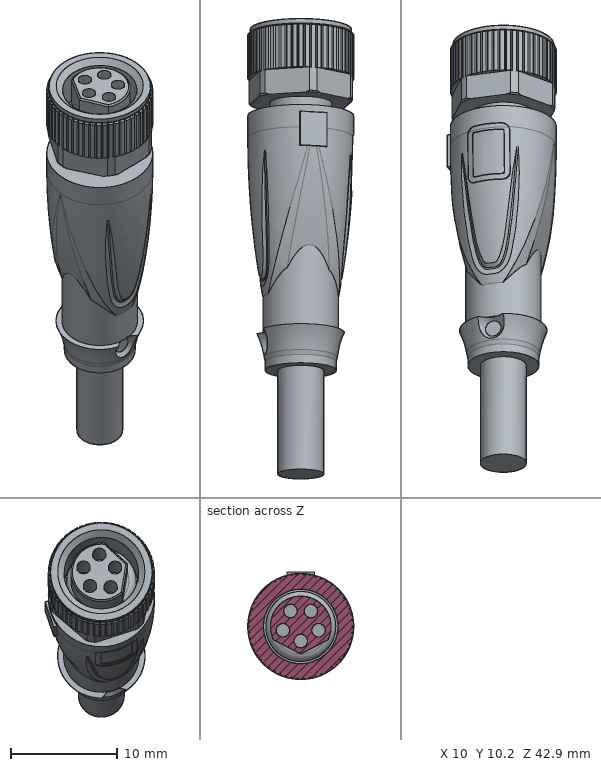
import math

import cadquery as cq

TOTAL_HEIGHT = 42.9
CABLE_END = 10.0
STRAIN_RING_TOP = 10.8
STRAIN_CONE_BASE = 11.25
COLLAR_TOP = 13.6
GRIP_BASE = 17.0
TUBE_TOP = 22.4
GRIP_TOP = 32.4
HEAD_TOP = 34.55
NUT_BASE = 35.8
KNURL_BASE = 38.2
KNURL_TOP = 42.45

CABLE_RADIUS = 2.17
STRAIN_RING_RADIUS = 3.35
STRAIN_CONE_RADIUS = 3.45
COLLAR_MIDDLE_RADIUS = 3.7
COLLAR_TOP_RADIUS = 4.13
TUBE_RADIUS = 3.56
HEAD_RADIUS = 5.0
NECK_RADIUS = 2.93
NUT_RIM_RADIUS = 4.78

SIDE_ARC_RADIUS = 83.0
PANEL_ARC_RADIUS = 43.0

BEVEL_INNER_SHARE = 0.77
BEVEL_OUTER_SHARE = 1.2
BEVEL_TIP_DROP = 0.4
BEVEL_SECTIONS = 6
BEVEL_OVERHANG = 0.5
BEVEL_THICKNESS = 1.0

HEX_ACROSS_FLATS = 9.0
NUT_CHAMFER = 0.15
KNURL_COUNT = 54
KNURL_DEPTH = 0.15
KNURL_HALF_WIDTH = 0.1

SOCKET_MOUTH_RADIUS = 4.1
SOCKET_RADIUS = 3.5
SOCKET_CHAMFER_DEPTH = 0.5
SOCKET_DEPTH = 5.0
SHOULDER_RADIUS = 3.3
SHOULDER_DEPTH = 3.0
SHOULDER_ROUNDING = 0.7
INSERT_RADIUS = 2.87
INSERT_RECESS = 0.1
INSERT_CHAMFER = 0.15
KEY_POINT_Y = -2.6
KEY_CORNER = (2.77, -1.16)
CONTACT_DIAMETER = 1.25
CONTACT_DEPTH = 4.0
CONTACT_CENTRES = [(-0.96, 1.45), (0.96, 1.45), (-1.68, -0.36), (1.68, -0.36), (0, -1.37)]

GROOVE_LOW_POINT = 18.5
GROOVE_TIP_HEIGHT = 30.4
GROOVE_HALF_SPAN = 2.75
GROOVE_EXPONENT = 3.3
GROOVE_DEPTH = 0.2
GROOVE_INNER_WIDTH = 0.45
GROOVE_OUTER_WIDTH = 0.6
GROOVE_FLOOR_WIDTH = 0.16
GROOVE_FADE_EXPONENT = 12
GROOVE_OVERHANG = 1.3
GROOVE_STEPS = 8
GROOVE_SMALL_STEP = 0.001

LABEL_CENTRE_Z = 29.95
LABEL_WIDTH = 3.1
LABEL_HEIGHT = 4.5
LABEL_CORNER_RADIUS = 0.2
LABEL_DEPTH = 0.2
FRAME_WIDTH = 4.15
FRAME_HEIGHT = 5.7
FRAME_CORNER_RADIUS = 0.75
FRAME_DEPTH = 0.1

PAD_WIDTH = 2.6
PAD_BASE = 30.6
PAD_TOP = 33.85
PAD_Y = 5.15

DIMPLE_FLOOR_X = 3.1
DIMPLE_FLOOR_RADIUS = 0.77
DIMPLE_CENTRE_Z = 12.55
DIMPLE_LENGTH = 1.5


def cylinder(radius, bottom, top):
    return cq.Workplane("XY").workplane(offset=bottom).circle(radius).extrude(top - bottom)


def arc_reach(arc_radius, z):
    """Distance from the axis, at height z, to a grip arc that leaves the head vertically."""
    drop = GRIP_TOP - z
    return HEAD_RADIUS - arc_radius + math.sqrt(arc_radius**2 - drop**2)


def grip_outline(plane, arc_radius, inset=0.0):
    """Half outline of the grip: vertical at the head, then one arc down to the base."""
    middle = (GRIP_BASE + GRIP_TOP) / 2
    return (
        cq.Workplane(plane)
        .moveTo(0, GRIP_BASE)
        .lineTo(arc_reach(arc_radius, GRIP_BASE) - inset, GRIP_BASE)
        .threePointArc(
            (arc_reach(arc_radius, middle) - inset, middle),
            (HEAD_RADIUS - inset, GRIP_TOP),
        )
        .lineTo(HEAD_RADIUS - inset, HEAD_TOP)
        .lineTo(0, HEAD_TOP)
        .close()
    )


def round_grip(inset=0.0):
    return grip_outline("XZ", SIDE_ARC_RADIUS, inset).revolve(360, (0, 0, 0), (0, 1, 0))


def panel_limit():
    """Solid bounded on the +Y and -Y sides by a curved panel that runs straight along X."""
    half = grip_outline("YZ", PANEL_ARC_RADIUS).extrude(2 * HEAD_RADIUS, both=True)
    return half.union(half.mirror("XZ"))


def bevel_section(z):
    """Triangle at height z whose base is the chord from the panel to the round side."""
    side = arc_reach(SIDE_ARC_RADIUS, z)
    panel = arc_reach(PANEL_ARC_RADIUS, z)
    half_width = math.sqrt(side**2 - panel**2)
    inner = cq.Vector(BEVEL_INNER_SHARE * half_width, panel, z)
    outer_x = BEVEL_OUTER_SHARE * half_width
    outer = cq.Vector(outer_x, math.sqrt(side**2 - outer_x**2), z)
    along = (outer - inner).normalized() * BEVEL_OVERHANG
    away = cq.Vector(-along.y, along.x, 0).normalized() * BEVEL_THICKNESS
    return cq.Wire.makePolygon(
        [inner - along, outer + along, (inner + outer) * 0.5 + away], close=True
    )


def make_bevels():
    top = GRIP_TOP - BEVEL_TIP_DROP
    step = (top - GRIP_BASE) / (BEVEL_SECTIONS - 1)
    sections = [bevel_section(top - i * step) for i in range(BEVEL_SECTIONS)]
    bevel = both_sides(cq.Workplane(cq.Solid.makeLoft(sections)))
    return bevel.union(bevel.mirror("XZ"))


def both_sides(shape):
    return shape.union(shape.mirror("YZ"))


def groove_point(share):
    """Point of the groove centre line on the round side; share runs from -1 to 1."""
    y = GROOVE_HALF_SPAN * share
    z = GROOVE_LOW_POINT + (GROOVE_TIP_HEIGHT - GROOVE_LOW_POINT) * abs(share) ** GROOVE_EXPONENT
    return cq.Vector(math.sqrt(arc_reach(SIDE_ARC_RADIUS, z) ** 2 - y**2), y, z)


def groove_section(share):
    """Flat-floored V square to the centre line; its floor rises to the surface at the tips."""
    point = groove_point(share)
    ahead = groove_point(share + GROOVE_SMALL_STEP)
    behind = groove_point(share - GROOVE_SMALL_STEP)
    tangent = (ahead - behind).normalized()
    drop = GRIP_TOP - point.z
    flare = drop / math.sqrt(SIDE_ARC_RADIUS**2 - drop**2)
    radius = math.hypot(point.x, point.y)
    outward = cq.Vector(point.x / radius, point.y / radius, -flare).normalized()
    across = tangent.cross(outward)
    floor = point - outward * GROOVE_DEPTH * (1 - abs(share) ** GROOVE_FADE_EXPONENT)
    floor_edge = across * GROOVE_FLOOR_WIDTH / 2
    rise = outward * GROOVE_DEPTH * GROOVE_OVERHANG
    inner = floor + rise - across * GROOVE_INNER_WIDTH * GROOVE_OVERHANG
    outer = floor + rise + across * GROOVE_OUTER_WIDTH * GROOVE_OVERHANG
    return cq.Wire.makePolygon([floor - floor_edge, inner, outer, floor + floor_edge], close=True)


def make_side_groove():
    sections = []
    for step in range(-GROOVE_STEPS, GROOVE_STEPS + 1):
        share = math.sin(math.pi / 2 * step / GROOVE_STEPS)
        sections.append(groove_section(share))
    return cq.Workplane(cq.Solid.makeLoft(sections))


def label_recess(width, height, corner_radius, depth):
    """Rounded rectangle cut to an even depth below the round side."""
    block = (
        cq.Workplane("YZ", origin=(-HEAD_RADIUS / 2, 0, LABEL_CENTRE_Z))
        .rect(width, height)
        .extrude(-HEAD_RADIUS)
        .edges("|X")
        .fillet(corner_radius)
    )
    return block.cut(round_grip(depth))


def make_label_pocket():
    frame = label_recess(FRAME_WIDTH, FRAME_HEIGHT, FRAME_CORNER_RADIUS, FRAME_DEPTH)
    return frame.union(label_recess(LABEL_WIDTH, LABEL_HEIGHT, LABEL_CORNER_RADIUS, LABEL_DEPTH))


def make_grip():
    grip = round_grip().intersect(panel_limit()).cut(make_bevels())
    grip = grip.cut(make_label_pocket())
    grip = grip.union(cylinder(TUBE_RADIUS, COLLAR_TOP, TUBE_TOP))
    grip = grip.cut(both_sides(make_side_groove()))
    pad = cq.Workplane("XY").box(
        PAD_WIDTH, PAD_Y - TUBE_RADIUS, PAD_TOP - PAD_BASE, centered=(True, False, False)
    )
    return grip.union(pad.translate((0, TUBE_RADIUS, PAD_BASE)))


def make_cable_end():
    """Cable, strain relief ring and flared collar in one turned profile."""
    collar_middle = (STRAIN_CONE_BASE + COLLAR_TOP) / 2
    turned = (
        cq.Workplane("XZ")
        .lineTo(CABLE_RADIUS, 0)
        .lineTo(CABLE_RADIUS, CABLE_END)
        .lineTo(STRAIN_RING_RADIUS, CABLE_END)
        .lineTo(STRAIN_RING_RADIUS, STRAIN_RING_TOP)
        .lineTo(STRAIN_CONE_RADIUS, STRAIN_CONE_BASE)
        .threePointArc((COLLAR_MIDDLE_RADIUS, collar_middle), (COLLAR_TOP_RADIUS, COLLAR_TOP))
        .lineTo(0, COLLAR_TOP)
        .close()
        .revolve(360, (0, 0, 0), (0, 1, 0))
    )
    dimple = (
        cq.Workplane("XZ", origin=(0, 0, DIMPLE_CENTRE_Z))
        .moveTo(DIMPLE_FLOOR_X, 0)
        .lineTo(DIMPLE_FLOOR_X, DIMPLE_FLOOR_RADIUS)
        .lineTo(DIMPLE_FLOOR_X + DIMPLE_LENGTH, DIMPLE_FLOOR_RADIUS + DIMPLE_LENGTH)
        .lineTo(DIMPLE_FLOOR_X + DIMPLE_LENGTH, 0)
        .close()
        .revolve(360, (0, 0, 0), (1, 0, 0))
    )
    return turned.cut(both_sides(dimple))


def make_nut():
    hexagon = (
        cq.Workplane("XY")
        .workplane(offset=NUT_BASE)
        .polygon(6, HEX_ACROSS_FLATS, circumscribed=True)
        .extrude(KNURL_BASE - NUT_BASE)
    )
    hex_limit = cylinder(HEAD_RADIUS, NUT_BASE, KNURL_BASE).faces("<Z").chamfer(NUT_CHAMFER)
    knurl = cylinder(HEAD_RADIUS, KNURL_BASE, KNURL_TOP).faces(">Z").edges().chamfer(NUT_CHAMFER)
    groove = (
        cq.Workplane("XY")
        .workplane(offset=KNURL_BASE)
        .polyline(
            [
                (HEAD_RADIUS - KNURL_DEPTH, 0),
                (HEAD_RADIUS + KNURL_DEPTH, 2 * KNURL_HALF_WIDTH),
                (HEAD_RADIUS + KNURL_DEPTH, -2 * KNURL_HALF_WIDTH),
            ]
        )
        .close()
        .extrude(KNURL_TOP - KNURL_BASE)
        .val()
    )
    pitch = 360 / KNURL_COUNT
    first = -90 + pitch / 2
    grooves = [groove.rotate((0, 0, 0), (0, 0, 1), first + i * pitch) for i in range(KNURL_COUNT)]
    knurl = knurl.cut(cq.Workplane(cq.Compound.makeCompound(grooves)))
    rim = cylinder(NUT_RIM_RADIUS, KNURL_BASE, TOTAL_HEIGHT)
    return hexagon.intersect(hex_limit).union(knurl).union(rim).cut(make_socket())


def make_socket():
    chamfer_end = TOTAL_HEIGHT - SOCKET_CHAMFER_DEPTH
    floor = TOTAL_HEIGHT - SOCKET_DEPTH
    return (
        cq.Workplane("XZ")
        .moveTo(0, floor)
        .lineTo(SOCKET_RADIUS, floor)
        .lineTo(SOCKET_RADIUS, chamfer_end)
        .lineTo(SOCKET_MOUTH_RADIUS, TOTAL_HEIGHT)
        .lineTo(0, TOTAL_HEIGHT)
        .close()
        .revolve(360, (0, 0, 0), (0, 1, 0))
    )


def make_insert():
    """Contact carrier: a round post with a V-shaped key side on a rounded shoulder."""
    floor = TOTAL_HEIGHT - SOCKET_DEPTH
    top = TOTAL_HEIGHT - INSERT_RECESS
    shoulder = cylinder(SHOULDER_RADIUS, floor, TOTAL_HEIGHT - SHOULDER_DEPTH)
    shoulder = shoulder.faces(">Z").edges().fillet(SHOULDER_ROUNDING)
    corner_x, corner_y = KEY_CORNER
    slope = (corner_y - KEY_POINT_Y) / corner_x
    reach = 2 * INSERT_RADIUS
    key_limit = (
        cq.Workplane("XY")
        .workplane(offset=floor)
        .polyline(
            [
                (0, KEY_POINT_Y),
                (reach, KEY_POINT_Y + slope * reach),
                (reach, reach),
                (-reach, reach),
                (-reach, KEY_POINT_Y + slope * reach),
            ]
        )
        .close()
        .extrude(top - floor)
    )
    post = cylinder(INSERT_RADIUS, floor, top).intersect(key_limit)
    post = post.faces(">Z").edges().chamfer(INSERT_CHAMFER)
    holes = (
        cq.Workplane("XY")
        .workplane(offset=top)
        .pushPoints(CONTACT_CENTRES)
        .circle(CONTACT_DIAMETER / 2)
        .extrude(-CONTACT_DEPTH)
    )
    return shoulder.union(post).cut(holes)


neck = cylinder(NECK_RADIUS, GRIP_TOP, KNURL_BASE - NUT_CHAMFER)
result = make_cable_end().union(make_grip()).union(neck).union(make_nut()).union(make_insert())